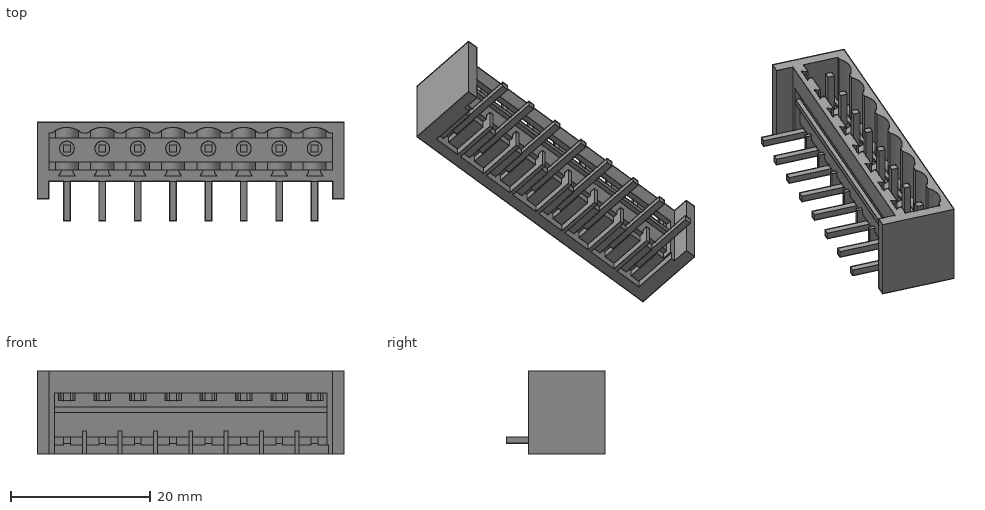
import cadquery as cq

LENGTH = 44.05
DEPTH = 11.0
HEIGHT = 12.0
WING_THICKNESS = 1.65
FRONT_WALL_Y = 2.5

PIN_COUNT = 8
PIN_ROW_SPAN = 35.6
PIN_PITCH = PIN_ROW_SPAN / (PIN_COUNT - 1)
PIN_XS = [(i - (PIN_COUNT - 1) / 2) * PIN_PITCH for i in range(PIN_COUNT)]
PIN_SIZE = 0.95
PIN_Y = 7.22
PIN_TIP_Z = 11.15
PIN_TOP_OF_TAIL_Z = 2.5
PIN_BOTTOM_Z = PIN_TOP_OF_TAIL_Z - PIN_SIZE
PIN_TAIL_END_Y = -3.15

POCKET_FRONT_Y = 4.15
POCKET_BACK_Y = 9.42
POCKET_FLOOR_Z = 3.75
SCALLOP_RADIUS = 3.15
SCALLOP_DEPTH = 0.85

PLATFORM_FRONT_Y = 5.3
PLATFORM_BACK_Y = 8.75
PLATFORM_TOP_Z = 5.73
PIN_RECESS_DIAMETER = 2.1
PIN_RECESS_DEPTH = 0.45

HUMP_WIDTH = 3.35
HUMP_ROUND_WIDTH = 2.55
HUMP_SHOULDER_HEIGHT = 0.57
HUMP_HEIGHT = 1.25

KEYWAY_OUTER_WIDTH = 2.4
KEYWAY_NECK_WIDTH = 1.7
KEYWAY_NECK_DEPTH = 0.3
KEYWAY_FLOOR_Z = 7.7

RECESS_DEPTH = 0.8
RECESS_Y = FRONT_WALL_Y + RECESS_DEPTH
RECESS_LENGTH = 39.2
RECESS_TOP_Z = 8.75
LEDGE_DEPTH = 0.65
LEDGE_BOTTOM_Z = 6.0
LEDGE_TOP_Z = 6.8

FRONT_UNDERSIDE_Z = PIN_TOP_OF_TAIL_Z
REAR_UNDERSIDE_Z = 1.3
REAR_UNDERSIDE_FRONT_Y = 3.95
CAVITY_BACK_Y = POCKET_BACK_Y
CAVITY_LEFT_X = -RECESS_LENGTH / 2
CAVITY_RIGHT_X = 19.77

RIB_WIDTH = 0.57
RIB_TOP_Z = 3.3


def block(x_range, y_range, z_range):
    """Box between the given limits along X, Y and Z."""
    (x0, x1), (y0, y1), (z0, z1) = x_range, y_range, z_range
    return cq.Workplane("XY").box(x1 - x0, y1 - y0, z1 - z0, centered=False).translate((x0, y0, z0))


def centred(width, middle=0.0):
    """Limits of a stretch of the given width about its middle."""
    return (middle - width / 2, middle + width / 2)


def make_shell():
    """Housing block with a wing at each end, reaching forward of the front wall."""
    shell = block(centred(LENGTH), (0, DEPTH), (0, HEIGHT))
    return shell.cut(block(centred(LENGTH - 2 * WING_THICKNESS), (0, FRONT_WALL_Y), (0, HEIGHT)))


def make_pocket():
    """Pocket volume with a scalloped back wall."""
    pocket = block(
        centred(LENGTH - 2 * WING_THICKNESS), (POCKET_FRONT_Y, POCKET_BACK_Y), (POCKET_FLOOR_Z, HEIGHT)
    )
    scallop_axis_y = POCKET_BACK_Y + SCALLOP_DEPTH - SCALLOP_RADIUS
    scallop = (
        cq.Workplane("XY", origin=(0, scallop_axis_y, POCKET_FLOOR_Z))
        .circle(SCALLOP_RADIUS)
        .extrude(HEIGHT - POCKET_FLOOR_Z)
        .intersect(block(centred(LENGTH), (POCKET_BACK_Y, DEPTH), (POCKET_FLOOR_Z, HEIGHT)))
    )
    for x in PIN_XS:
        pocket = pocket.union(scallop.translate((x, 0, 0)))
    return pocket


def make_platform():
    """Bar along the pocket floor, with a round recess about each pin."""
    platform = block(
        centred(LENGTH - 2 * WING_THICKNESS),
        (PLATFORM_FRONT_Y, PLATFORM_BACK_Y),
        (POCKET_FLOOR_Z, PLATFORM_TOP_Z),
    )
    recesses = (
        cq.Workplane("XY", origin=(0, 0, PLATFORM_TOP_Z))
        .pushPoints([(x, PIN_Y) for x in PIN_XS])
        .circle(PIN_RECESS_DIAMETER / 2)
        .extrude(-PIN_RECESS_DEPTH)
    )
    return platform.cut(recesses)


def make_hump(x):
    """Round-topped hump with sloping shoulders, running from front to back across the pocket floor."""
    return (
        cq.Workplane("XZ", origin=(x, POCKET_FRONT_Y, POCKET_FLOOR_Z))
        .moveTo(-HUMP_WIDTH / 2, 0)
        .lineTo(-HUMP_ROUND_WIDTH / 2, HUMP_SHOULDER_HEIGHT)
        .threePointArc((0, HUMP_HEIGHT), (HUMP_ROUND_WIDTH / 2, HUMP_SHOULDER_HEIGHT))
        .lineTo(HUMP_WIDTH / 2, 0)
        .close()
        .extrude(POCKET_FRONT_Y - DEPTH)
    )


def make_keyway(x):
    """Dovetail keyway, with a straight neck at the pocket, widening towards the front recess."""
    neck_y = POCKET_FRONT_Y - KEYWAY_NECK_DEPTH
    return (
        cq.Workplane("XY", origin=(x, 0, KEYWAY_FLOOR_Z))
        .moveTo(-KEYWAY_OUTER_WIDTH / 2, RECESS_Y)
        .lineTo(KEYWAY_OUTER_WIDTH / 2, RECESS_Y)
        .lineTo(KEYWAY_NECK_WIDTH / 2, neck_y)
        .lineTo(KEYWAY_NECK_WIDTH / 2, POCKET_FRONT_Y)
        .lineTo(-KEYWAY_NECK_WIDTH / 2, POCKET_FRONT_Y)
        .lineTo(-KEYWAY_NECK_WIDTH / 2, neck_y)
        .close()
        .extrude(HEIGHT - KEYWAY_FLOOR_Z)
    )


def make_front_recess():
    """Recess in the front wall, interrupted by the ledge."""
    recess = block(centred(RECESS_LENGTH), (FRONT_WALL_Y, RECESS_Y), (0, RECESS_TOP_Z))
    ledge = block(centred(RECESS_LENGTH), (RECESS_Y - LEDGE_DEPTH, RECESS_Y), (LEDGE_BOTTOM_Z, LEDGE_TOP_Z))
    return recess.cut(ledge)


def make_under_space():
    """Stepped space under the housing, open to the front and the bottom."""
    front_step = block(centred(RECESS_LENGTH), (FRONT_WALL_Y, REAR_UNDERSIDE_FRONT_Y), (0, FRONT_UNDERSIDE_Z))
    cavity = block(
        (CAVITY_LEFT_X, CAVITY_RIGHT_X), (FRONT_WALL_Y, CAVITY_BACK_Y), (0, REAR_UNDERSIDE_Z)
    )
    return front_step.union(cavity)


def make_pin_channel(x):
    """Passage for one pin, with a slot along the underside for its tail."""
    slot = block(
        centred(PIN_SIZE, x), (REAR_UNDERSIDE_FRONT_Y, CAVITY_BACK_Y), (REAR_UNDERSIDE_Z, PIN_TOP_OF_TAIL_Z)
    )
    hole = block(centred(PIN_SIZE, x), centred(PIN_SIZE, PIN_Y), (REAR_UNDERSIDE_Z, PLATFORM_TOP_Z))
    return slot.union(hole)


def make_rib(x):
    """Spacer rib flush with the front wall, continuing under the housing to the back of the cavity."""
    upright = block(centred(RIB_WIDTH, x), (FRONT_WALL_Y, REAR_UNDERSIDE_FRONT_Y), (0, RIB_TOP_Z))
    foot = block(centred(RIB_WIDTH, x), (FRONT_WALL_Y, CAVITY_BACK_Y), (0, REAR_UNDERSIDE_Z))
    return upright.union(foot)


def make_housing():
    """Complete housing."""
    pocket = make_pocket()
    housing = make_shell().cut(pocket).union(make_platform())
    for x in PIN_XS:
        housing = housing.union(make_hump(x).intersect(pocket))
    for x in PIN_XS:
        housing = housing.cut(make_keyway(x))
    housing = housing.cut(make_front_recess()).cut(make_under_space())
    for x in PIN_XS[:-1]:
        housing = housing.union(make_rib(x + PIN_PITCH / 2))
    for x in PIN_XS:
        housing = housing.cut(make_pin_channel(x))
    return housing


def make_pin(x):
    """Square right-angle pin: a post up into the pocket and a tail out to the front."""
    post = block(centred(PIN_SIZE, x), centred(PIN_SIZE, PIN_Y), (PIN_BOTTOM_Z, PIN_TIP_Z))
    tail = block(centred(PIN_SIZE, x), (PIN_TAIL_END_Y, PIN_Y), (PIN_BOTTOM_Z, PIN_TOP_OF_TAIL_Z))
    return post.union(tail)


housing = make_housing()
pins = [make_pin(x) for x in PIN_XS]

result = cq.Compound.makeCompound([housing.val(), *[pin.val() for pin in pins]])